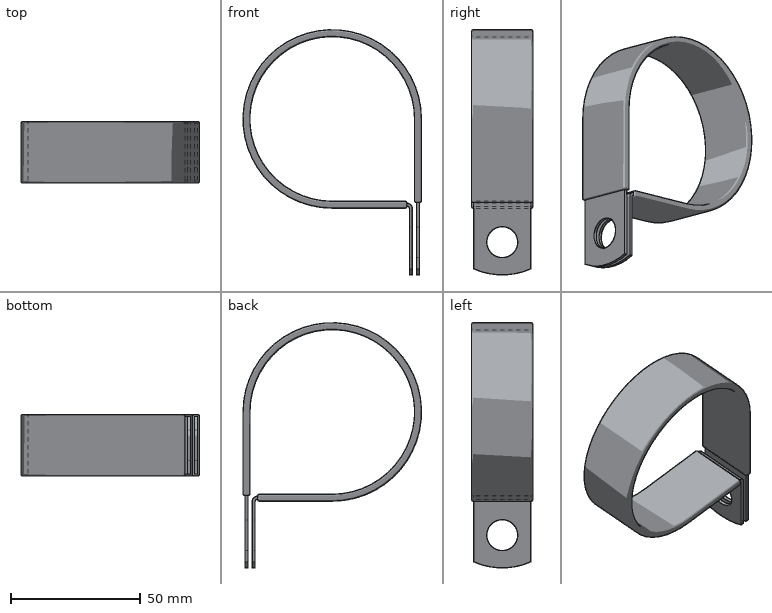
import cadquery as cq
import math

total_height = 94.9
loop_radius = 34.5
cushion_width = 23.8

strip_thickness = 1.2
cover = 0.8
side_cover = 0.9
cushion_thickness = strip_thickness + 2 * cover
strip_width = cushion_width - 2 * side_cover
mid_radius = loop_radius - cushion_thickness / 2

diagonal = math.sqrt(0.5)

straight_leg_end_z = -32.4
tab_spacing = 2.75
bend_radius = 1.5
bent_tab_x = mid_radius - tab_spacing
bend_start_x = bent_tab_x - bend_radius
tab_bottom_z = loop_radius - total_height
tab_end_rise = 2.4
hole_diameter = 11.9
hole_height = 12.7


def make_cushion():
    """C-shaped band with one vertical and one horizontal leg, all outer edges rounded."""
    outer = loop_radius
    inner = loop_radius - cushion_thickness
    band = (
        cq.Workplane("XZ")
        .moveTo(outer, straight_leg_end_z)
        .lineTo(outer, 0)
        .threePointArc((-outer * diagonal, outer * diagonal), (0, -outer))
        .lineTo(bend_start_x, -outer)
        .lineTo(bend_start_x, -inner)
        .lineTo(0, -inner)
        .threePointArc((-inner * diagonal, inner * diagonal), (inner, 0))
        .lineTo(inner, straight_leg_end_z)
        .close()
        .extrude(cushion_width / 2, both=True)
    )
    straight_end = cq.selectors.BoxSelector(
        (inner - cover, -cushion_width, straight_leg_end_z - cover),
        (outer + cover, cushion_width, straight_leg_end_z + cover),
    )
    bent_end = cq.selectors.BoxSelector(
        (bend_start_x - cover, -cushion_width, -outer - cover),
        (bend_start_x + cover, cushion_width, -inner + cover),
    )
    side_edges = band.faces("<Y or >Y").edges()
    rounded_edges = side_edges.add(band.edges(straight_end)).add(band.edges(bent_end))
    return rounded_edges.fillet(cover)


def make_tab_plate(mid_x, top_z):
    """Flat plate from top_z down to the rounded tab end."""
    half_width = strip_width / 2
    corner_z = tab_bottom_z + tab_end_rise
    return (
        cq.Workplane("YZ", origin=(mid_x, 0, 0))
        .moveTo(-half_width, top_z)
        .lineTo(-half_width, corner_z)
        .threePointArc((0, tab_bottom_z), (half_width, corner_z))
        .lineTo(half_width, top_z)
        .close()
        .extrude(strip_thickness / 2, both=True)
    )


def make_bend():
    """Quarter bend turning the horizontal strip down into the bent tab, with a root in the cushion."""
    centre_z = -mid_radius - bend_radius
    outer = bend_radius + strip_thickness / 2
    inner = bend_radius - strip_thickness / 2
    root_x = bend_start_x - cushion_thickness
    return (
        cq.Workplane("XZ")
        .moveTo(root_x, centre_z + outer)
        .lineTo(bend_start_x, centre_z + outer)
        .threePointArc(
            (bend_start_x + outer * diagonal, centre_z + outer * diagonal),
            (bend_start_x + outer, centre_z),
        )
        .lineTo(bend_start_x + inner, centre_z)
        .threePointArc(
            (bend_start_x + inner * diagonal, centre_z + inner * diagonal),
            (bend_start_x, centre_z + inner),
        )
        .lineTo(root_x, centre_z + inner)
        .close()
        .extrude(strip_width / 2, both=True)
    )


straight_tab = make_tab_plate(mid_radius, straight_leg_end_z + cushion_thickness)
bent_tab = make_tab_plate(bent_tab_x, -mid_radius - bend_radius)

bolt_hole = (
    cq.Workplane("YZ", origin=(0, 0, tab_bottom_z + hole_height))
    .circle(hole_diameter / 2)
    .extrude(loop_radius)
)

result = make_cushion().union(straight_tab).union(make_bend()).union(bent_tab).cut(bolt_hole)